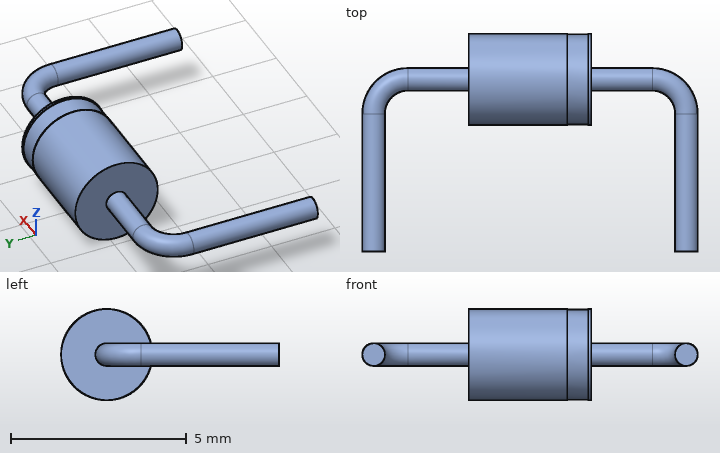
import cadquery as cq

overall_width = 9.54
wire_diameter = 0.65
bend_radius = 0.97
overall_depth = 6.2

body_diameter = 2.6
body_length = 3.49
band_diameter = 2.58
band_width = 0.6
end_rim_width = 0.09

body_end = body_length / 2
lead_reach = overall_depth - body_diameter / 2
band_end = body_end - end_rim_width
band_start = band_end - band_width
leg_x = (overall_width - wire_diameter) / 2


def cylinder_along_x(diameter, start, end):
    return cq.Workplane("YZ", origin=(start, 0, 0)).circle(diameter / 2).extrude(end - start)


def make_body():
    """Cylinder with a shallow marking groove near its +X end."""
    body = cylinder_along_x(body_diameter, -body_end, body_end)
    ring = cylinder_along_x(body_diameter, band_start, band_end)
    ring = ring.cut(cylinder_along_x(band_diameter, band_start, band_end))
    return body.cut(ring)


def make_leads():
    """One continuous round wire through the body, with a quarter bend at each side."""
    path = (
        cq.Workplane("XY")
        .moveTo(-leg_x, -lead_reach)
        .lineTo(-leg_x, -bend_radius)
        .radiusArc((-leg_x + bend_radius, 0), bend_radius)
        .lineTo(leg_x - bend_radius, 0)
        .radiusArc((leg_x, -bend_radius), bend_radius)
        .lineTo(leg_x, -lead_reach)
    )
    profile = cq.Workplane("XZ", origin=(-leg_x, -lead_reach, 0)).circle(wire_diameter / 2)
    return profile.sweep(path)


result = make_body().union(make_leads())